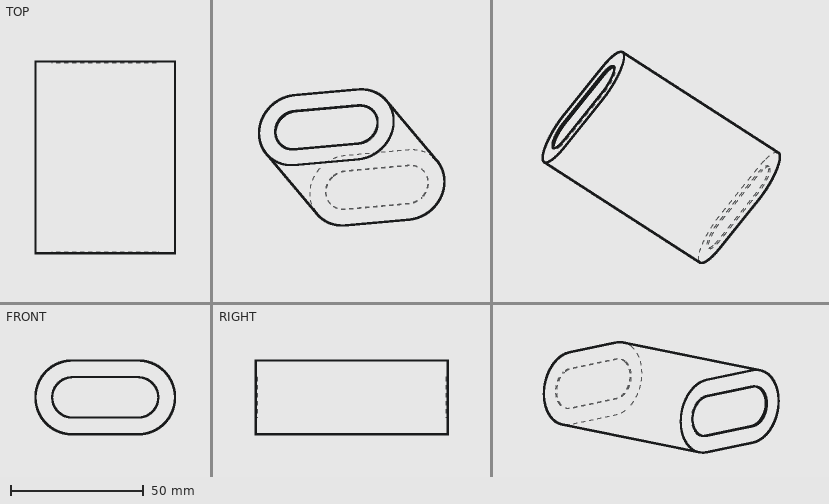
import cadquery as cq

INCH = 25.4

height = 1.1 * INCH
center_distance = 0.975 * INCH
core_length = 2.8 * INCH

ring_thickness = 0.025 * INCH
ring_border = 0.25 * INCH
recess_height = height - 2 * ring_border


def obround_prism(profile_height, length, y_start):
    """Obround profile in the XZ plane, extruded toward +Y from y_start."""
    profile_width = center_distance + profile_height
    return (
        cq.Workplane("XZ", origin=(0, y_start, 0))
        .slot2D(profile_width, profile_height)
        .extrude(-length)
    )


def end_ring(y_start):
    """Flat ring whose opening forms the recess in one end of the part."""
    plate = obround_prism(height, ring_thickness, y_start)
    opening = obround_prism(recess_height, ring_thickness, y_start)
    return plate.cut(opening)


core_front = -core_length / 2
core_back = core_length / 2

result = obround_prism(height, core_length, core_front)
for ring_start in (core_front - ring_thickness, core_back):
    result = result.union(end_ring(ring_start), clean=False)